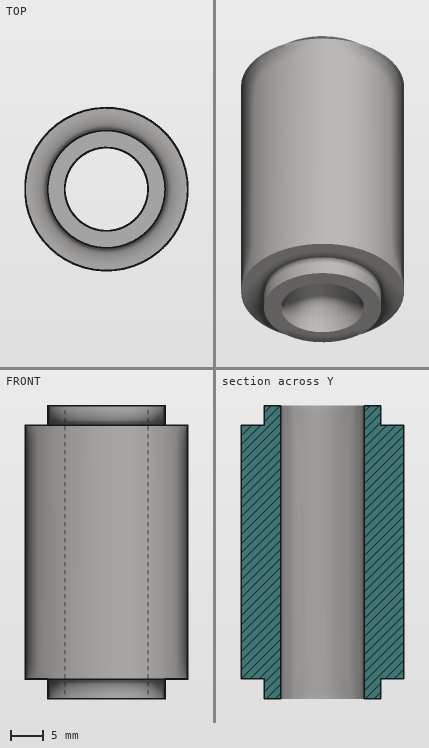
import cadquery as cq

total_length = 45.0
body_diameter = 25.0
collar_diameter = 18.0
collar_length = 3.0
bore_diameter = 12.75

body_length = total_length - 2 * collar_length


def centred_cylinder(diameter, length):
    """Cylinder along Z, centred on the origin."""
    return cq.Workplane("XY").cylinder(length, diameter / 2)


body = centred_cylinder(body_diameter, body_length)
sleeve = centred_cylinder(collar_diameter, total_length)
bore = centred_cylinder(bore_diameter, total_length)

result = body.union(sleeve).cut(bore)